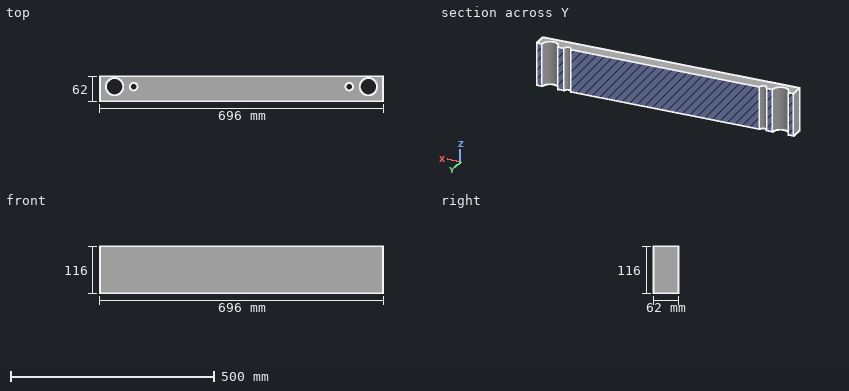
import cadquery as cq

LENGTH = 696.0
WIDTH = 62.0
HEIGHT = 116.0

LARGE_HOLE_DIAMETER = 42.0
LARGE_HOLE_SPACING = 624.0
SMALL_HOLE_DIAMETER = 18.0
SMALL_HOLE_SPACING = 530.0
HOLE_LINE_FROM_BACK = 26.0

hole_line_y = WIDTH / 2 - HOLE_LINE_FROM_BACK


def make_bar():
    return cq.Workplane("XY").box(LENGTH, WIDTH, HEIGHT, centered=(True, True, False))


def make_hole_pair(diameter, spacing):
    """Two vertical cylinders, one near each end, on the common hole line."""
    centres = [(side * spacing / 2, hole_line_y) for side in (-1, 1)]
    return cq.Workplane("XY").pushPoints(centres).circle(diameter / 2).extrude(HEIGHT)


large_holes = make_hole_pair(LARGE_HOLE_DIAMETER, LARGE_HOLE_SPACING)
small_holes = make_hole_pair(SMALL_HOLE_DIAMETER, SMALL_HOLE_SPACING)
result = make_bar().cut(large_holes).cut(small_holes)